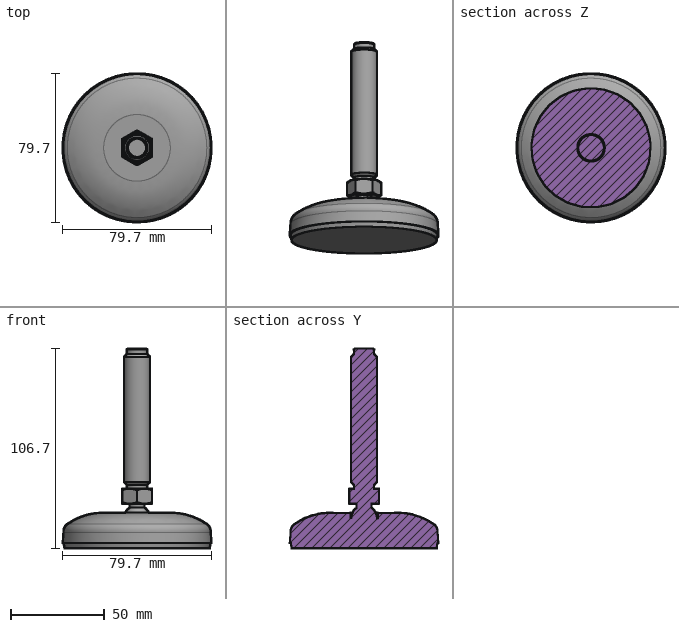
import cadquery as cq
import math

foot_dia = 79.66
cover_taper_top_dia = 78.8
pad_bottom_dia = 77.7
pad_top_dia = 78.6
pad_height = 2.7
shoulder_bottom_z = 8.5
dome_edge_z = 13.0
dome_edge_dia = 74.5
top_flat_dia = 35.6
foot_height = 19.1

ball_dia = 14.0
socket_dia = 14.4
ball_center_z = 16.0
neck_dia = 8.06

hex_sides = 6
hex_flats = 16.0
hex_bottom_z = 23.7
hex_height = 8.2
hex_face_dia = 15.6
hex_chamfer_angle = 30.0

total_height = 106.7
stud_dia = 14.0
relief_dia = 11.0
stud_chamfer = (stud_dia - relief_dia) / 2
stud_bottom_z = 33.9
tip_length = 3.0
tip_chamfer = 0.6


def revolve_about_z(profile):
    """Turn a closed (radius, height) profile drawn on XZ around the Z axis."""
    return profile.close().revolve(360, (0, 0, 0), (0, 1, 0))


def make_foot():
    top_r = top_flat_dia / 2
    edge_r = dome_edge_dia / 2
    shoulder_r = cover_taper_top_dia / 2

    run = edge_r - top_r
    drop = foot_height - dome_edge_z
    dome_r = (run**2 + drop**2) / (2 * drop)
    edge_slope = math.asin(run / dome_r)
    half_slope = edge_slope / 2
    dome_mid = (
        top_r + dome_r * math.sin(half_slope),
        foot_height - dome_r * (1 - math.cos(half_slope)),
    )

    profile = (
        cq.Workplane("XZ")
        .moveTo(0, foot_height)
        .lineTo(top_r, foot_height)
        .threePointArc(dome_mid, (edge_r, dome_edge_z))
        .tangentArcPoint((shoulder_r - edge_r, shoulder_bottom_z - dome_edge_z))
        .lineTo(foot_dia / 2, pad_height)
        .lineTo(pad_top_dia / 2, pad_height)
        .lineTo(pad_bottom_dia / 2, 0)
        .lineTo(0, 0)
    )
    return revolve_about_z(profile)


def make_socket():
    depth = foot_height - ball_center_z
    return cq.Workplane("XY").workplane(offset=ball_center_z).circle(socket_dia / 2).extrude(depth)


def make_ball():
    return cq.Workplane("XY").sphere(ball_dia / 2).translate((0, 0, ball_center_z))


def make_hexagon():
    corner_r = hex_flats / 2 / math.cos(math.pi / hex_sides)
    face_r = hex_face_dia / 2
    bevel = (corner_r - face_r) * math.tan(math.radians(hex_chamfer_angle))
    top_z = hex_bottom_z + hex_height
    prism = (
        cq.Workplane("XY")
        .workplane(offset=hex_bottom_z)
        .polygon(hex_sides, 2 * corner_r)
        .extrude(hex_height)
        .rotate((0, 0, 0), (0, 0, 1), 180 / hex_sides)
    )
    envelope = (
        cq.Workplane("XZ")
        .moveTo(0, hex_bottom_z)
        .lineTo(face_r, hex_bottom_z)
        .lineTo(corner_r, hex_bottom_z + bevel)
        .lineTo(corner_r, top_z - bevel)
        .lineTo(face_r, top_z)
        .lineTo(0, top_z)
    )
    return prism.intersect(revolve_about_z(envelope))


def make_stud():
    neck_r = neck_dia / 2
    relief_r = relief_dia / 2
    stud_r = stud_dia / 2
    hex_top_z = hex_bottom_z + hex_height
    tip_z = total_height - tip_length
    profile = (
        cq.Workplane("XZ")
        .moveTo(0, ball_center_z)
        .lineTo(neck_r, ball_center_z)
        .lineTo(neck_r, hex_top_z)
        .lineTo(relief_r, hex_top_z)
        .lineTo(relief_r, stud_bottom_z)
        .lineTo(stud_r, stud_bottom_z + stud_chamfer)
        .lineTo(stud_r, tip_z - stud_chamfer)
        .lineTo(relief_r, tip_z)
        .lineTo(relief_r, total_height - tip_chamfer)
        .lineTo(relief_r - tip_chamfer, total_height)
        .lineTo(0, total_height)
    )
    return revolve_about_z(profile)


foot = make_foot().cut(make_socket())
result = foot.union(make_ball()).union(make_stud()).union(make_hexagon())